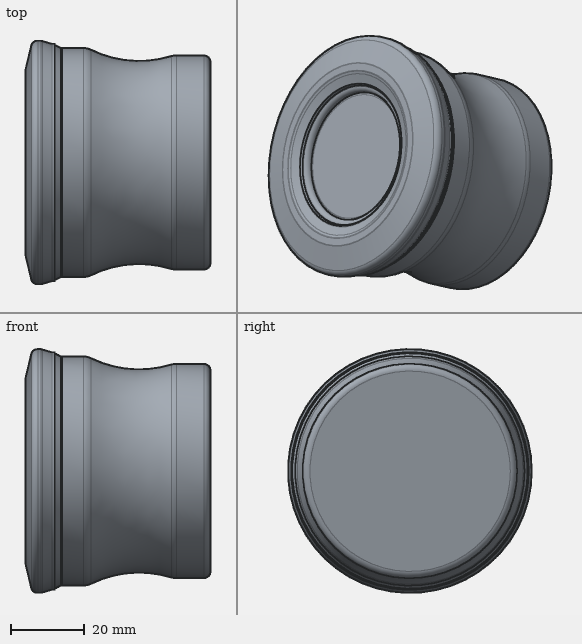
import cadquery as cq
import math

OVERALL_LENGTH = 50.1

COLLAR_RADIUS = 33.0
FACE_OUTER_RADIUS = 25.1
FACE_INNER_RADIUS = 22.95
FRONT_CONE_ANGLE = 13.5
RIM_ROUND = 1.8
FACE_EDGE_ROUND = 0.6

BAND_END = 4.15
TAPER_START = 4.6
TAPER_START_RADIUS = 32.85
LEDGE_START = 7.1
LEDGE_RADIUS = 32.1
STEP_X = 8.0
STEP_RADIUS = 31.8
TAIL_CONE_END = 9.55
COLLAR_BACK = 9.95

DISH_BREAK_X = 0.25
DISH_BREAK_RADIUS = 22.15
DISH_DEPTH = 1.1
DISH_INNER_RADIUS = 19.7
WALL_START_X = 1.25
WALL_START_RADIUS = 19.5
WALL_END_RADIUS = 19.1
LIP_X = 1.85
LIP_RADIUS = 18.95
BORE_RADIUS = 17.5

SHOULDER_RADIUS = 62.0 / 2
GRIP_END_RADIUS = 58.0 / 2
BOSS_FACE_X = 3.4
BOSS_EDGE_WIDTH = 0.5
BOSS_EDGE_DEPTH = 0.1
GROOVE_CENTER_X = 30.75
GROOVE_FLOOR_RADIUS = 27.5
GROOVE_ARC = 29.7
GROOVE_BLEND = 4.6
END_ROUND = 1.9


def point_on_arc(center, radius, angle):
    """Point (x, r) on a circle; the angle is in radians from the +X direction."""
    return (center[0] + radius * math.cos(angle), center[1] + radius * math.sin(angle))


def revolve_about_x(profile):
    """Turn a closed (x, r) profile drawn in the XY plane about the X axis."""
    return profile.close().revolve(360, (0, 0, 0), (1, 0, 0))


def make_collar():
    slope = math.radians(FRONT_CONE_ANGLE)

    rim_center_radius = COLLAR_RADIUS - RIM_ROUND
    rim_center = (
        (rim_center_radius - FACE_OUTER_RADIUS) * math.tan(slope) + RIM_ROUND / math.cos(slope),
        rim_center_radius,
    )
    rim_start_angle = math.pi - slope
    rim_start = point_on_arc(rim_center, RIM_ROUND, rim_start_angle)
    rim_middle = point_on_arc(rim_center, RIM_ROUND, (rim_start_angle + math.pi / 2) / 2)
    rim_end = (rim_center[0], COLLAR_RADIUS)

    lip_round = LIP_RADIUS - BORE_RADIUS
    lip_center = (LIP_X + lip_round, LIP_RADIUS)
    lip_start = (LIP_X, LIP_RADIUS)
    lip_middle = point_on_arc(lip_center, lip_round, math.radians(225))
    lip_end = (lip_center[0], BORE_RADIUS)

    profile = (
        cq.Workplane("XY")
        .moveTo(0, FACE_INNER_RADIUS)
        .lineTo(0, FACE_OUTER_RADIUS)
        .lineTo(*rim_start)
        .threePointArc(rim_middle, rim_end)
        .lineTo(BAND_END, COLLAR_RADIUS)
        .lineTo(TAPER_START, TAPER_START_RADIUS)
        .lineTo(LEDGE_START, LEDGE_RADIUS)
        .lineTo(STEP_X, LEDGE_RADIUS)
        .lineTo(STEP_X, STEP_RADIUS)
        .lineTo(TAIL_CONE_END, SHOULDER_RADIUS)
        .lineTo(COLLAR_BACK, SHOULDER_RADIUS)
        .lineTo(COLLAR_BACK, BORE_RADIUS)
        .lineTo(*lip_end)
        .threePointArc(lip_middle, lip_start)
        .lineTo(LIP_X, WALL_END_RADIUS)
        .lineTo(WALL_START_X, WALL_START_RADIUS)
        .lineTo(DISH_DEPTH, DISH_INNER_RADIUS)
        .lineTo(DISH_BREAK_X, DISH_BREAK_RADIUS)
    )
    return revolve_about_x(profile).faces("<X").edges().fillet(FACE_EDGE_ROUND)


def groove_blend(cylinder_radius, side):
    """Start, middle and end of the arc from a cylinder into the groove (side -1 front, +1 back)."""
    groove_center = (GROOVE_CENTER_X, GROOVE_FLOOR_RADIUS + GROOVE_ARC)
    blend_center_radius = cylinder_radius - GROOVE_BLEND
    rise = groove_center[1] - blend_center_radius
    reach = math.sqrt((GROOVE_ARC + GROOVE_BLEND) ** 2 - rise**2)
    blend_center = (GROOVE_CENTER_X + side * reach, blend_center_radius)
    groove_angle = math.atan2(rise, -side * reach)
    on_cylinder = (blend_center[0], cylinder_radius)
    middle = point_on_arc(blend_center, GROOVE_BLEND, (groove_angle + math.pi / 2) / 2)
    on_groove = point_on_arc(blend_center, GROOVE_BLEND, groove_angle)
    return on_cylinder, middle, on_groove


def make_knob():
    front_cylinder, front_middle, front_groove = groove_blend(SHOULDER_RADIUS, -1)
    back_cylinder, back_middle, back_groove = groove_blend(GRIP_END_RADIUS, 1)

    profile = (
        cq.Workplane("XY")
        .moveTo(BOSS_FACE_X, 0)
        .lineTo(BOSS_FACE_X, BORE_RADIUS - BOSS_EDGE_WIDTH)
        .lineTo(BOSS_FACE_X + BOSS_EDGE_DEPTH, BORE_RADIUS)
        .lineTo(COLLAR_BACK, BORE_RADIUS)
        .lineTo(COLLAR_BACK, SHOULDER_RADIUS)
        .lineTo(*front_cylinder)
        .threePointArc(front_middle, front_groove)
        .threePointArc((GROOVE_CENTER_X, GROOVE_FLOOR_RADIUS), back_groove)
        .threePointArc(back_middle, back_cylinder)
        .lineTo(OVERALL_LENGTH, GRIP_END_RADIUS)
        .lineTo(OVERALL_LENGTH, 0)
    )
    return revolve_about_x(profile).faces(">X").edges().fillet(END_ROUND)


collar = make_collar()
knob = make_knob()

result = cq.Compound.makeCompound([collar.val(), knob.val()])